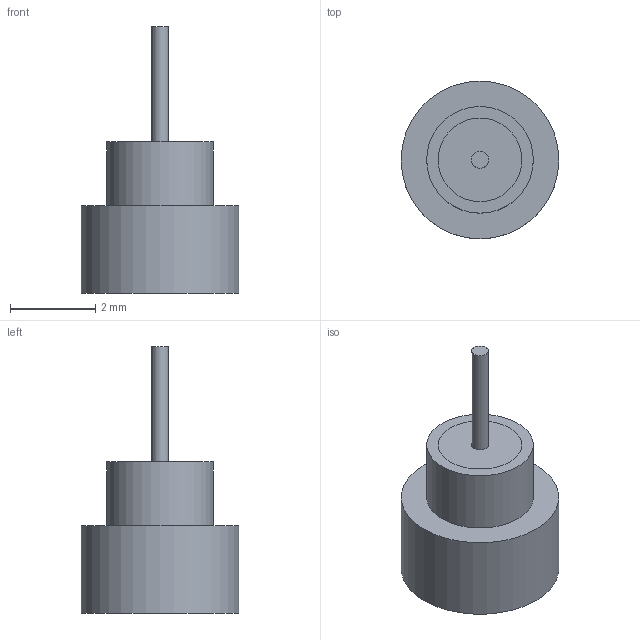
import cadquery as cq

base_diameter = 3.7
base_height = 2.05
collar_diameter = 2.5
collar_height = 1.5
bead_diameter = 1.96
pin_diameter = 0.4
pin_length = 2.7

collar_top = base_height + collar_height
pin_top = collar_top + pin_length


def cylinder(diameter, bottom, top):
    """Solid cylinder on the Z axis between two levels."""
    return cq.Workplane("XY").workplane(offset=bottom).circle(diameter / 2).extrude(top - bottom)


shell = cylinder(base_diameter, 0, base_height).union(
    cylinder(collar_diameter, base_height, collar_top)
)
shell = shell.cut(cylinder(bead_diameter, base_height, collar_top))

bead = cylinder(bead_diameter, base_height, collar_top)
pin = cylinder(pin_diameter, collar_top, pin_top)

result = shell.union(bead, clean=False).union(pin, clean=False)